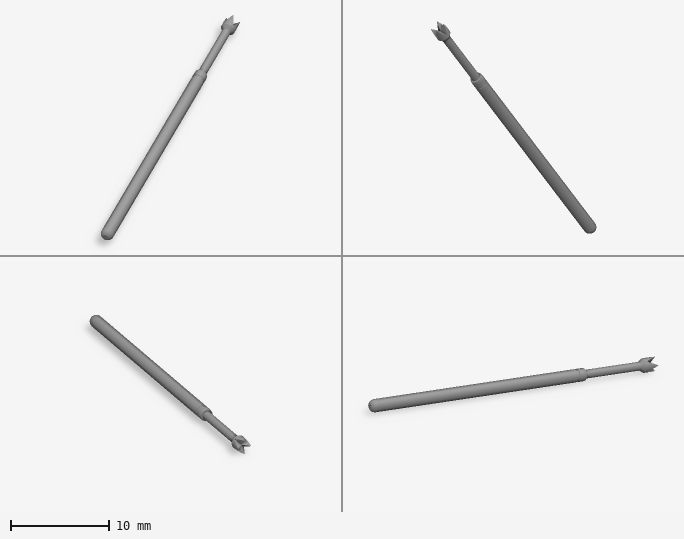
import cadquery as cq
import math


barrel_length = 25.0
barrel_radius = 0.68
tail_flat_radius = 0.35
tail_length = 0.55
mouth_taper_length = 0.3
mouth_taper_depth = 0.04
groove_width = 0.25
groove_depth = 0.05
groove_from_mouth = 0.8

plunger_radius = 0.45
plunger_reach = 8.35
crown_radius = 0.75
crown_length = 1.45
cone_length = 0.43

tooth_count = 4
full_turn = 360.0
valley_angle = 60.0

total_length = barrel_length + plunger_reach
crown_base = total_length - crown_length


def make_turned_body():
    """Barrel and plunger revolved about the Y axis."""
    tail_inset = barrel_radius - tail_flat_radius
    tail_arc_radius = (tail_inset**2 + tail_length**2) / (2 * tail_inset)
    half_sweep = math.atan(tail_inset / tail_length)
    tail_mid = (
        barrel_radius - tail_arc_radius * (1 - math.cos(half_sweep)),
        tail_length - tail_arc_radius * math.sin(half_sweep),
    )
    groove_top = barrel_length - groove_from_mouth
    groove_bottom = groove_top - groove_width
    groove_radius = barrel_radius - groove_depth

    outline = (
        cq.Workplane("XY")
        .lineTo(tail_flat_radius, 0)
        .threePointArc(tail_mid, (barrel_radius, tail_length))
        .lineTo(barrel_radius, groove_bottom)
        .lineTo(groove_radius, groove_bottom)
        .lineTo(groove_radius, groove_top)
        .lineTo(barrel_radius, groove_top)
        .lineTo(barrel_radius, barrel_length - mouth_taper_length)
        .lineTo(barrel_radius - mouth_taper_depth, barrel_length)
        .lineTo(plunger_radius, barrel_length)
        .lineTo(plunger_radius, crown_base - cone_length)
        .lineTo(crown_radius, crown_base)
        .lineTo(crown_radius, total_length)
        .lineTo(0, total_length)
        .close()
    )
    return outline.revolve(full_turn, (0, 0, 0), (0, 1, 0))


def make_valley_cutter():
    """V-shaped cutter that falls outward along the +X +Z diagonal, kept to that quadrant."""
    reach = 4 * crown_radius
    half_width = reach * math.tan(math.radians(valley_angle / 2))
    valley_level = total_length - crown_radius
    valley_plane = cq.Plane(origin=(0, valley_level, 0), xDir=(1, 0, -1), normal=(1, -1, 1))
    wedge = (
        cq.Workplane(valley_plane)
        .polyline([(0, 0), (half_width, reach), (-half_width, reach)])
        .close()
        .extrude(reach, both=True)
    )
    quadrant = (
        cq.Workplane("XY")
        .box(reach, 2 * reach, reach, centered=(False, True, False))
        .translate((0, valley_level, 0))
    )
    return wedge.intersect(quadrant)


def cut_crown_teeth(body):
    """Cut one valley between each pair of neighbouring teeth."""
    cutter = make_valley_cutter()
    for index in range(tooth_count):
        angle = index * full_turn / tooth_count
        body = body.cut(cutter.rotate((0, 0, 0), (0, 1, 0), angle))
    return body


result = cut_crown_teeth(make_turned_body())